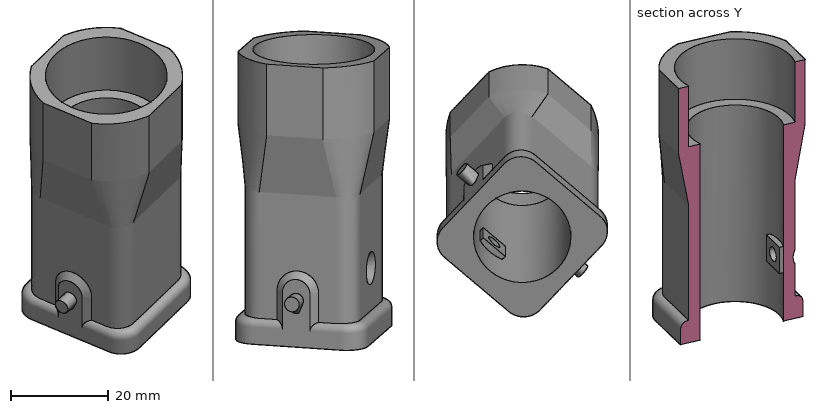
import cadquery as cq
import math

total_height = 59.85
collar_bottom = 44.7
taper_bottom = 32.0
collar_bore_bottom = 45.8
base_height = 5.3

collar_width = 29.0
collar_flat = 11.95
collar_corner_radius = math.hypot(collar_width / 2, collar_flat / 2)

shaft_width = 24.35
shaft_corner_radius = 3.95
shaft_flat = shaft_width - 2 * shaft_corner_radius

base_length = 28.05
base_width = 26.9
base_corner_radius = 4.55
base_edge_radius = 1.7

main_bore_diameter = 20.0
collar_bore_diameter = 25.0

lug_axis_height = 11.45
lug_root_radius = 4.4
lug_face_radius = 2.95

pin_span = 33.4
pin_radius = 1.55
pin_height = 9.9
keel_radius = 0.8
keel_root_bottom = 7.1

screw_height = 14.35
screw_diameter = 3.1
countersink_diameter = 6.9
pad_width = 6.1
pad_face_x = -8.6


def cut_square(height, width, flat, corner_radius, corner_center):
    """Square outline with four corner arcs, each centred on its diagonal."""
    half = width / 2
    half_flat = flat / 2
    arc_middle = corner_center + corner_radius * math.sqrt(0.5)
    outline = cq.Workplane("XY").workplane(offset=height).moveTo(-half_flat, -half)
    for ax, ay in ((1, 0), (0, 1), (-1, 0), (0, -1)):
        ox, oy = ay, -ax
        side_end = (half_flat * ax + half * ox, half_flat * ay + half * oy)
        middle = (arc_middle * (ax + ox), arc_middle * (ay + oy))
        next_start = (half * ax + half_flat * ox, half * ay + half_flat * oy)
        outline = outline.lineTo(*side_end).threePointArc(middle, next_start)
    return outline.close()


def collar_outline(height):
    return cut_square(height, collar_width, collar_flat, collar_corner_radius, 0)


def shaft_outline(height):
    return cut_square(height, shaft_width, shaft_flat, shaft_corner_radius, shaft_flat / 2)


def make_taper():
    lower = shaft_outline(taper_bottom).val()
    upper = collar_outline(collar_bottom).val()
    return cq.Workplane(cq.Solid.makeLoft([lower, upper], True))


def make_base():
    return (
        cq.Workplane("XY")
        .box(base_length, base_width, base_height, centered=(True, True, False))
        .edges("|Z")
        .fillet(base_corner_radius)
        .faces(">Z")
        .edges()
        .fillet(base_edge_radius)
    )


def side_plane(y):
    """Plane facing -Y, with local x along X and local y along Z."""
    return cq.Workplane("XZ", origin=(0, y, 0))


def arch_outline(y, radius):
    """Round-topped outline standing on the bottom face."""
    return (
        side_plane(y)
        .moveTo(-radius, 0)
        .lineTo(radius, 0)
        .lineTo(radius, lug_axis_height)
        .threePointArc((0, lug_axis_height + radius), (-radius, lug_axis_height))
        .close()
        .val()
    )


def make_lug():
    """Lug on the -Y side: sloped flanks from the shaft face out to the base face."""
    root = arch_outline(-shaft_width / 2, lug_root_radius)
    face = arch_outline(-base_width / 2, lug_face_radius)
    return cq.Workplane(cq.Solid.makeLoft([root, face], True))


def circle_point(radius, height, angle):
    """Point (x, z) on a circle centred at x = 0, at an angle below the +X direction."""
    return radius * math.cos(angle), height - radius * math.sin(angle)


def mirrored(point):
    return -point[0], point[1]


def make_pin():
    """Pin on the -Y side: round at its tip, drop-shaped where it leaves the lug."""
    keel_height = keel_root_bottom + keel_radius
    straight_down = math.pi / 2
    flank = math.asin((pin_radius - keel_radius) / (pin_height - keel_height))
    below_flank = (flank + straight_down) / 2
    shoulder = circle_point(pin_radius, pin_height, flank)
    flank_middle = circle_point(pin_radius, pin_height, below_flank)
    tip_corner = circle_point(pin_radius, pin_height, (below_flank + straight_down) / 2)
    keel_corner = circle_point(keel_radius, keel_height, flank)
    pin_top = (0, pin_height + pin_radius)

    root = (
        side_plane(-base_width / 2)
        .moveTo(*mirrored(shoulder))
        .threePointArc(pin_top, shoulder)
        .lineTo(*keel_corner)
        .threePointArc((0, keel_root_bottom), mirrored(keel_corner))
        .close()
        .val()
    )
    tip = (
        side_plane(-pin_span / 2)
        .moveTo(*mirrored(shoulder))
        .threePointArc(pin_top, shoulder)
        .threePointArc(flank_middle, tip_corner)
        .threePointArc((0, pin_height - pin_radius), mirrored(tip_corner))
        .threePointArc(mirrored(flank_middle), mirrored(shoulder))
        .close()
        .val()
    )
    return cq.Workplane(cq.Solid.makeLoft([root, tip], True))


def make_pad():
    """Square pad standing inwards from the -X wall, around the screw axis."""
    wall_middle_x = -(shaft_width + main_bore_diameter) / 4
    return (
        cq.Workplane("YZ", origin=(wall_middle_x, 0, screw_height))
        .rect(pad_width, pad_width)
        .extrude(pad_face_x - wall_middle_x)
    )


def make_screw_hole():
    """Through hole with a 90 degree countersink in the -X shaft face."""
    face_x = -shaft_width / 2
    countersink_depth = (countersink_diameter - screw_diameter) / 2
    hole = (
        cq.Workplane("YZ", origin=(face_x, 0, screw_height))
        .circle(screw_diameter / 2)
        .extrude(pad_face_x - face_x)
    )
    countersink = cq.Solid.makeCone(
        countersink_diameter / 2,
        screw_diameter / 2,
        countersink_depth,
        pnt=cq.Vector(face_x, 0, screw_height),
        dir=cq.Vector(1, 0, 0),
    )
    return hole.union(cq.Workplane(countersink))


collar = collar_outline(collar_bottom).extrude(total_height - collar_bottom)
shaft = shaft_outline(0).extrude(taper_bottom)
body = shaft.union(make_taper()).union(collar).union(make_base())

lug_and_pin = make_lug().union(make_pin())
body = body.union(lug_and_pin).union(lug_and_pin.mirror("XZ"))

main_bore = cq.Workplane("XY").circle(main_bore_diameter / 2).extrude(total_height)
collar_bore = (
    cq.Workplane("XY", origin=(0, 0, collar_bore_bottom))
    .circle(collar_bore_diameter / 2)
    .extrude(total_height - collar_bore_bottom)
)
body = body.cut(main_bore).cut(collar_bore)

result = body.union(make_pad()).cut(make_screw_hole())